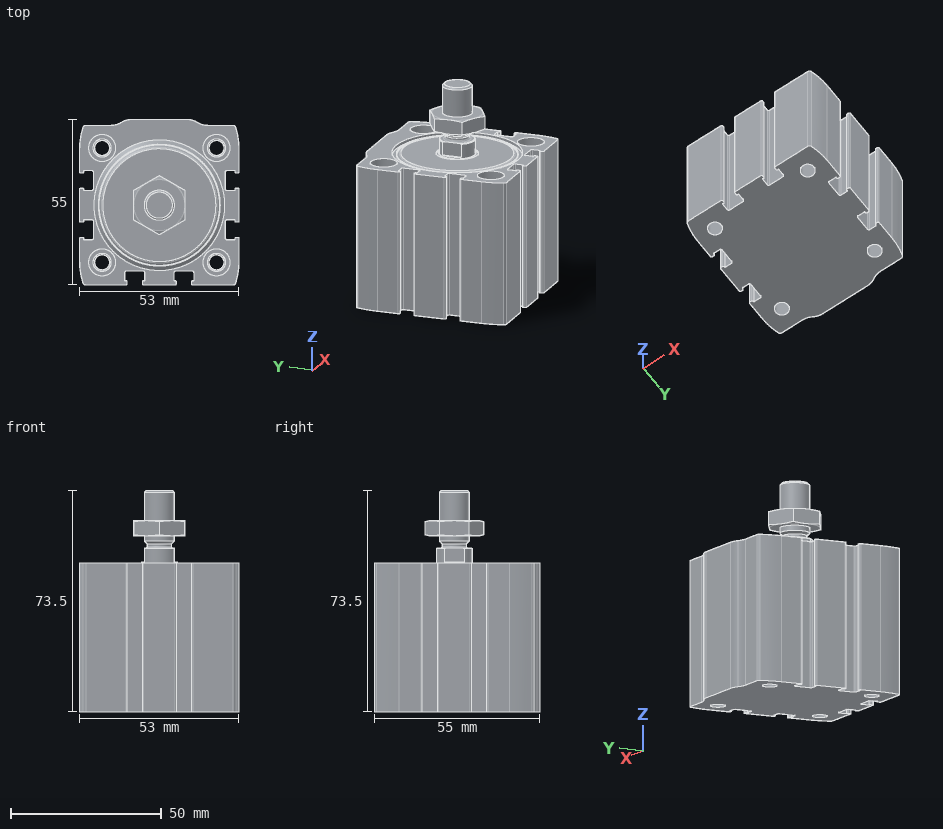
import cadquery as cq
import math

half_width = 53.0 / 2
rail_top = 55.0 - half_width
housing_height = 49.5
corner_round = 1.0

side_flat_half = 18.4
bulge_radius = 25.0

rail_flat_half = 9.1
rail_foot_half = 16.0

slot_offset = 8.15
slot_mouth_width = 5.0
slot_width = 6.55
slot_depth = 4.6
slot_lip = 1.5
slot_lip_round = 0.45
slot_floor_round = 0.5

bolt_offset = 18.95
bolt_diameter = 4.9
bolt_rim_diameter = 6.0
counterbore_diameter = 9.0
counterbore_depth = 4.85

cover_top_radius = 18.75
cover_top_depth = 0.2
cover_shoulder_radius = 19.2
cover_shoulder_depth = 0.45
cover_rim_radius = 40.0 / 2
cover_rim_depth = 0.9

retainer_radius = 20.2
retainer_depth = 0.45
groove_radius = 43.4 / 2
groove_depth = 1.3

wiper_seat_radius = 14.1 / 2
wiper_seat_depth = 0.7
wiper_lip_radius = 6.2
wiper_lip_depth = 0.3

rod_radius = 12.0 / 2
rod_edge_chamfer = 0.2
rod_bottom = housing_height - 10.0
shoulder_height = 54.4
flats_width = 10.0
flats_bottom = housing_height + 0.2

neck_radius = 8.1 / 2
neck_round = 0.5
thread_radius = 10.0 / 2
thread_chamfer = 0.65
thread_bottom = 56.7
rod_top = 73.5

nut_width = 17.0
nut_bottom = 58.4
nut_thickness = 5.0
nut_chamfer_angle = 15.0


def revolved(profile):
    """Solid of revolution about Z from (radius, height) points."""
    return cq.Workplane("XZ").polyline(profile).close().revolve(360, (0, 0, 0), (0, 1, 0))


def bulge_x(rise):
    """X of the bulging side wall at a distance beyond its flat."""
    return half_width - bulge_radius + math.sqrt(bulge_radius**2 - rise**2)


def make_block():
    """Extruded housing outline with bulging sides and the raised rail."""
    bulge_rise = half_width - side_flat_half
    corner_x = bulge_x(bulge_rise)
    mid_x = bulge_x(bulge_rise / 2)
    mid_y = side_flat_half + bulge_rise / 2
    bend_x = (rail_flat_half + rail_foot_half) / 2
    bend_y = (rail_top + half_width) / 2
    right_half = (
        cq.Workplane("XY")
        .moveTo(0, -half_width)
        .lineTo(corner_x, -half_width)
        .threePointArc((mid_x, -mid_y), (half_width, -side_flat_half))
        .lineTo(half_width, side_flat_half)
        .threePointArc((mid_x, mid_y), (corner_x, half_width))
        .lineTo(rail_foot_half, half_width)
        .tangentArcPoint((bend_x, bend_y), relative=False)
        .tangentArcPoint((rail_flat_half, rail_top), relative=False)
        .lineTo(0, rail_top)
        .close()
        .extrude(housing_height)
    )
    middle_height = housing_height / 2
    for y in (-half_width, half_width):
        corner_edge = cq.selectors.NearestToPointSelector((corner_x, y, middle_height))
        right_half = right_half.edges(corner_edge).fillet(corner_round)
    return right_half.union(right_half.mirror("YZ"))


def slot_cutter():
    """T-slot along Z in the -Y wall, with rounded lips and floor corners."""
    wall = -half_width
    lip = wall + slot_lip
    floor = wall + slot_depth
    mouth = slot_mouth_width / 2
    side = slot_width / 2
    right_half = (
        cq.Workplane("XY")
        .moveTo(0, wall)
        .lineTo(mouth + slot_lip_round, wall)
        .radiusArc((mouth, wall + slot_lip_round), slot_lip_round)
        .lineTo(mouth, lip - slot_lip_round)
        .radiusArc((mouth + slot_lip_round, lip), slot_lip_round)
        .lineTo(side, lip)
        .lineTo(side, floor - slot_floor_round)
        .radiusArc((side - slot_floor_round, floor), -slot_floor_round)
        .lineTo(0, floor)
        .close()
        .extrude(housing_height)
    )
    return right_half.union(right_half.mirror("YZ"))


def bolt_hole_cutter():
    """Through hole with a conical rim in the floor of its counterbore."""
    hole = bolt_diameter / 2
    rim = bolt_rim_diameter / 2
    counterbore = counterbore_diameter / 2
    floor = housing_height - counterbore_depth
    return revolved([
        (0, 0),
        (hole, 0),
        (hole, floor - (rim - hole)),
        (rim, floor),
        (counterbore, floor),
        (counterbore, housing_height),
        (0, housing_height),
    ])


def cover_cutter():
    """Space above the sunk end cover and its sloping retainer ring."""
    top = housing_height
    return revolved([
        (0, top),
        (0, top - cover_top_depth),
        (cover_top_radius, top - cover_top_depth),
        (cover_shoulder_radius, top - cover_shoulder_depth),
        (cover_rim_radius, top - cover_rim_depth),
        (retainer_radius, top - cover_rim_depth),
        (retainer_radius, top - retainer_depth),
        (groove_radius, top - groove_depth),
        (groove_radius, top),
    ])


def rod_socket_cutter():
    """Blind socket for the rod, ringed at the top by the wiper lip."""
    top = housing_height
    return revolved([
        (0, top),
        (wiper_seat_radius, top),
        (wiper_seat_radius, top - wiper_seat_depth),
        (wiper_lip_radius, top - wiper_lip_depth),
        (rod_radius, top - wiper_lip_depth),
        (rod_radius, rod_bottom),
        (0, rod_bottom),
    ])


def make_housing():
    body = make_block()
    for wall_angle in (-90, 0, 90):
        for offset in (-slot_offset, slot_offset):
            slot = slot_cutter().translate((offset, 0, 0))
            body = body.cut(slot.rotate((0, 0, 0), (0, 0, 1), wall_angle))
    for x in (-bolt_offset, bolt_offset):
        for y in (-bolt_offset, bolt_offset):
            body = body.cut(bolt_hole_cutter().translate((x, y, 0)))
    return body.cut(cover_cutter()).cut(rod_socket_cutter())


def make_rod():
    """Turned rod with two wrench flats below the neck and the plain thread cylinder."""
    turned = (
        cq.Workplane("XZ")
        .moveTo(0, rod_bottom)
        .lineTo(rod_radius, rod_bottom)
        .lineTo(rod_radius, shoulder_height - rod_edge_chamfer)
        .lineTo(rod_radius - rod_edge_chamfer, shoulder_height)
        .lineTo(neck_radius + neck_round, shoulder_height)
        .radiusArc((neck_radius, shoulder_height + neck_round), neck_round)
        .lineTo(neck_radius, thread_bottom - (thread_radius - neck_radius))
        .lineTo(thread_radius, thread_bottom)
        .lineTo(thread_radius, rod_top - thread_chamfer)
        .lineTo(thread_radius - thread_chamfer, rod_top)
        .lineTo(0, rod_top)
        .close()
        .revolve(360, (0, 0, 0), (0, 1, 0))
    )
    flats_height = shoulder_height - flats_bottom
    flats_cutter = (
        cq.Workplane("XY", origin=(0, 0, flats_bottom))
        .circle(2 * rod_radius)
        .extrude(flats_height)
        .cut(
            cq.Workplane("XY", origin=(0, 0, flats_bottom))
            .rect(flats_width, 4 * rod_radius)
            .extrude(flats_height)
        )
    )
    return turned.cut(flats_cutter)


def make_nut():
    """Hexagon with corners along Y, chamfered at both ends and bored for the thread."""
    flat_radius = nut_width / 2
    corner_radius = nut_width / math.sqrt(3)
    hexagon = (
        cq.Workplane("XY")
        .polygon(6, 2 * corner_radius)
        .extrude(nut_thickness)
        .rotate((0, 0, 0), (0, 0, 1), 30)
    )
    chamfer_rise = (corner_radius - flat_radius) * math.tan(math.radians(nut_chamfer_angle))
    chamfer_envelope = revolved([
        (0, 0),
        (flat_radius, 0),
        (corner_radius, chamfer_rise),
        (corner_radius, nut_thickness - chamfer_rise),
        (flat_radius, nut_thickness),
        (0, nut_thickness),
    ])
    bore = cq.Workplane("XY").circle(thread_radius).extrude(nut_thickness)
    return hexagon.intersect(chamfer_envelope).cut(bore).translate((0, 0, nut_bottom))


housing = make_housing()
rod = make_rod()
nut = make_nut()
result = cq.Compound.makeCompound([part.solids().val() for part in (housing, rod, nut)])